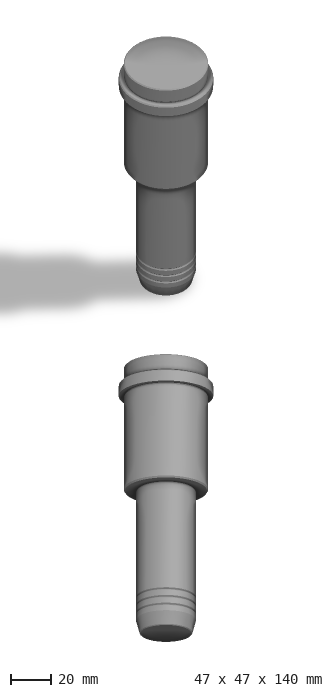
import cadquery as cq

total_height = 140.0
head_radius = 21.0
flange_radius = 23.5
pin_radius = 15.0
foot_radius = 13.2

taper_top = 7.0
sleeve_bottom = 75.0
flange_bottom = 125.0
flange_top = 131.0

edge_chamfer = 0.5
foot_chamfer = 0.4
flange_chamfer = 0.5
neck_depth = 0.4
head_neck_height = 0.7
sleeve_chamfer_height = 0.8
pin_relief_depth = 0.5
pin_relief_height = 1.0

groove_count = 3
lowest_groove_height = 10.4
groove_pitch = 4.0
groove_width = 1.3
groove_depth = 0.5


def pin_groove_points(center_height):
    """Profile points of one V groove, from bottom to top."""
    half_width = groove_width / 2
    return [
        (pin_radius, center_height - half_width),
        (pin_radius - groove_depth, center_height),
        (pin_radius, center_height + half_width),
    ]


def pin_points():
    """Tapered foot, grooved pin and the cone narrowing it into the sleeve."""
    points = [
        (0, 0),
        (foot_radius - foot_chamfer, 0),
        (foot_radius, foot_chamfer),
        (pin_radius, taper_top),
    ]
    for index in range(groove_count):
        points += pin_groove_points(lowest_groove_height + index * groove_pitch)
    points += [
        (pin_radius, sleeve_bottom - pin_relief_height),
        (pin_radius - pin_relief_depth, sleeve_bottom),
    ]
    return points


def sleeve_points():
    """Chamfered sleeve, narrowing to a neck beneath the flange."""
    neck_radius = head_radius - neck_depth
    return [
        (head_radius - edge_chamfer, sleeve_bottom),
        (head_radius, sleeve_bottom + sleeve_chamfer_height),
        (head_radius, flange_bottom - 2 * neck_depth),
        (neck_radius, flange_bottom - neck_depth),
        (neck_radius, flange_bottom),
    ]


def flange_points():
    """Flange with a chamfered upper rim."""
    return [
        (flange_radius, flange_bottom),
        (flange_radius, flange_top - flange_chamfer),
        (flange_radius - flange_chamfer, flange_top),
    ]


def head_points():
    """Neck above the flange and the chamfered head."""
    neck_radius = head_radius - neck_depth
    return [
        (neck_radius, flange_top),
        (neck_radius, flange_top + head_neck_height),
        (head_radius, flange_top + head_neck_height + neck_depth),
        (head_radius, total_height - edge_chamfer),
        (head_radius - edge_chamfer, total_height),
        (0, total_height),
    ]


profile = pin_points() + sleeve_points() + flange_points() + head_points()
result = cq.Workplane("XZ").polyline(profile).close().revolve(360, (0, 0, 0), (0, 1, 0))